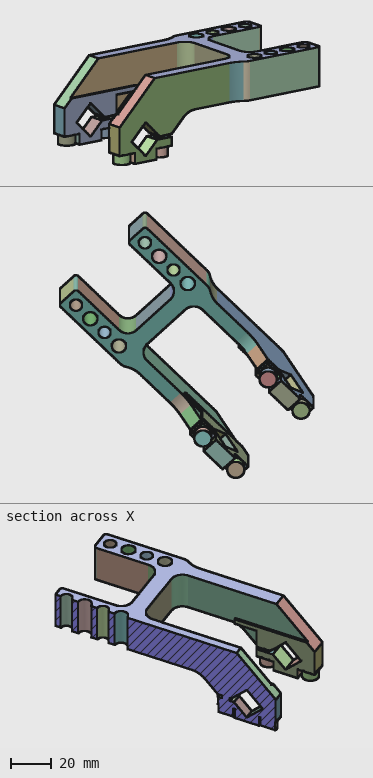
import cadquery as cq
import math


total_width = 59.1
total_length = 121.0
total_height = 41.5
body_height = 20.0

lug_width = 12.0
lug_corner_radius = 1.5
lug_hole_x = 23.5
first_hole_inset = 6.0
hole_pitch = 10.0
hole_diameters = (6.0, 7.0, 6.0, 7.0)

bar_rear_inset = 36.0
bar_thickness = 9.0
bar_fillet_radius = 6.0

arm_outer_x = 26.5
arm_inner_x = 19.0
shoulder_convex_radius = 6.0
shoulder_concave_radius = 13.0
shoulder_rear_inset = 43.2

clamp_length = 32.0
nose_chamfer = 21.5
underside_fillet_radius = 10.0
bar_seat_size = 12.0
split_depth = 30.0
split_gap = 1.5
head_seat_depth = 36.0
keel_length = 13.4

pad_inner_x = 18.0
pad_top_depth = 17.2
pad_length = 44.0

screw_offset = 11.5
screw_diameter = 5.0
head_diameter = 8.5
head_height = 5.0

half_width = total_width / 2
lug_inner_x = half_width - lug_width
bar_rear_y = total_length - bar_rear_inset
bar_front_y = bar_rear_y - bar_thickness
arm_rear_y = bar_front_y - bar_fillet_radius
clamp_center_y = clamp_length / 2
clamp_center_x = (arm_outer_x + pad_inner_x) / 2
underside_corner_y = clamp_length + split_depth - body_height


def box(x_range, y_range, z_range):
    """Axis-aligned block between the given limits."""
    corner = (x_range[0], y_range[0], z_range[0])
    size = [limits[1] - limits[0] for limits in (x_range, y_range, z_range)]
    return cq.Workplane("XY").box(*size, centered=False).translate(corner)


def side_plate(outline, inner_x, outer_x):
    """Plate with a (Y, Z) outline, between two X positions."""
    plane = cq.Workplane("YZ", origin=(inner_x, 0, 0))
    return plane.polyline(outline).close().extrude(outer_x - inner_x)


def make_rear_half():
    """Lug, shoulder and half of the cross bar, on the +X side."""
    radius_sum = shoulder_convex_radius + shoulder_concave_radius
    turn = math.acos(1 - (half_width - arm_outer_x) / radius_sum)
    convex_center = (half_width - shoulder_convex_radius, total_length - shoulder_rear_inset)
    concave_center = (arm_outer_x + shoulder_concave_radius,
                      convex_center[1] - radius_sum * math.sin(turn))

    def on_convex(angle):
        return (convex_center[0] + shoulder_convex_radius * math.cos(angle),
                convex_center[1] - shoulder_convex_radius * math.sin(angle))

    def on_concave(angle):
        return (concave_center[0] - shoulder_concave_radius * math.cos(angle),
                concave_center[1] + shoulder_concave_radius * math.sin(angle))

    half = (
        cq.Workplane("XY")
        .moveTo(0, bar_rear_y)
        .lineTo(lug_inner_x, bar_rear_y)
        .lineTo(lug_inner_x, total_length)
        .lineTo(half_width, total_length)
        .lineTo(*on_convex(0))
        .threePointArc(on_convex(turn / 2), on_convex(turn))
        .threePointArc(on_concave(turn / 2), on_concave(0))
        .lineTo(arm_inner_x, concave_center[1])
        .lineTo(arm_inner_x, bar_front_y)
        .lineTo(0, bar_front_y)
        .close()
        .extrude(-body_height)
    )
    half = half.edges("|Z and >Y").fillet(lug_corner_radius)
    for corner in ((lug_inner_x, bar_rear_y), (arm_inner_x, bar_front_y)):
        nearest = cq.selectors.NearestToPointSelector((*corner, -body_height / 2))
        half = half.edges(nearest).fillet(bar_fillet_radius)

    for index, diameter in enumerate(hole_diameters):
        hole_y = total_length - first_hole_inset - index * hole_pitch
        hole = cq.Workplane("XY").center(lug_hole_x, hole_y).circle(diameter / 2)
        half = half.cut(hole.extrude(-body_height))
    return half


def make_arm():
    """Front arm with its clamp end, before the clamp is cut open."""
    arm = side_plate(
        [
            (nose_chamfer, 0),
            (arm_rear_y, 0),
            (arm_rear_y, -body_height),
            (underside_corner_y, -body_height),
            (clamp_length, -split_depth),
            (clamp_length, -total_height),
            (0, -total_height),
            (0, -nose_chamfer),
        ],
        arm_inner_x,
        arm_outer_x,
    )
    corner = (clamp_center_x, underside_corner_y, -body_height)
    arm = arm.edges("|X").edges(cq.selectors.NearestToPointSelector(corner))
    arm = arm.fillet(underside_fillet_radius)

    pad = side_plate(
        [
            (nose_chamfer - pad_top_depth, -pad_top_depth),
            (pad_length, -pad_top_depth),
            (pad_length, -body_height),
            (clamp_length, -body_height),
            (clamp_length, -total_height),
            (0, -total_height),
            (0, -nose_chamfer),
        ],
        pad_inner_x,
        arm_inner_x,
    )
    return arm.union(pad)


def cut_clamp(arm):
    """Open the square bar seat, the split and the two screw head seats."""
    clamp_x = (pad_inner_x, arm_outer_x)
    half_diagonal = bar_seat_size / math.sqrt(2)
    bar_seat = side_plate(
        [
            (clamp_center_y - half_diagonal, -split_depth),
            (clamp_center_y, -split_depth - half_diagonal),
            (clamp_center_y + half_diagonal, -split_depth),
            (clamp_center_y, -split_depth + half_diagonal),
        ],
        *clamp_x,
    )
    split = box(clamp_x, (clamp_center_y, clamp_length), (-split_depth - split_gap, -split_depth))
    arm = arm.cut(bar_seat).cut(split)

    keel_front_y = clamp_center_y - keel_length / 2
    keel_rear_y = clamp_center_y + keel_length / 2
    for seat_y in ((0, keel_front_y), (keel_rear_y, clamp_length)):
        arm = arm.cut(box(clamp_x, seat_y, (-total_height, -head_seat_depth)))
    return arm


def add_screws(arm):
    """Screw heads under both seats and the shank that crosses the split."""
    front_y = clamp_center_y - screw_offset
    rear_y = clamp_center_y + screw_offset
    for screw_y in (front_y, rear_y):
        seat = cq.Workplane("XY", origin=(clamp_center_x, screw_y, -head_seat_depth))
        arm = arm.union(seat.circle(head_diameter / 2).extrude(-head_height))
    shank = cq.Workplane("XY", origin=(clamp_center_x, rear_y, -split_depth))
    return arm.union(shank.circle(screw_diameter / 2).extrude(-split_gap))


half_fork = make_rear_half().union(add_screws(cut_clamp(make_arm())))
result = half_fork.union(half_fork.mirror("YZ")).clean()